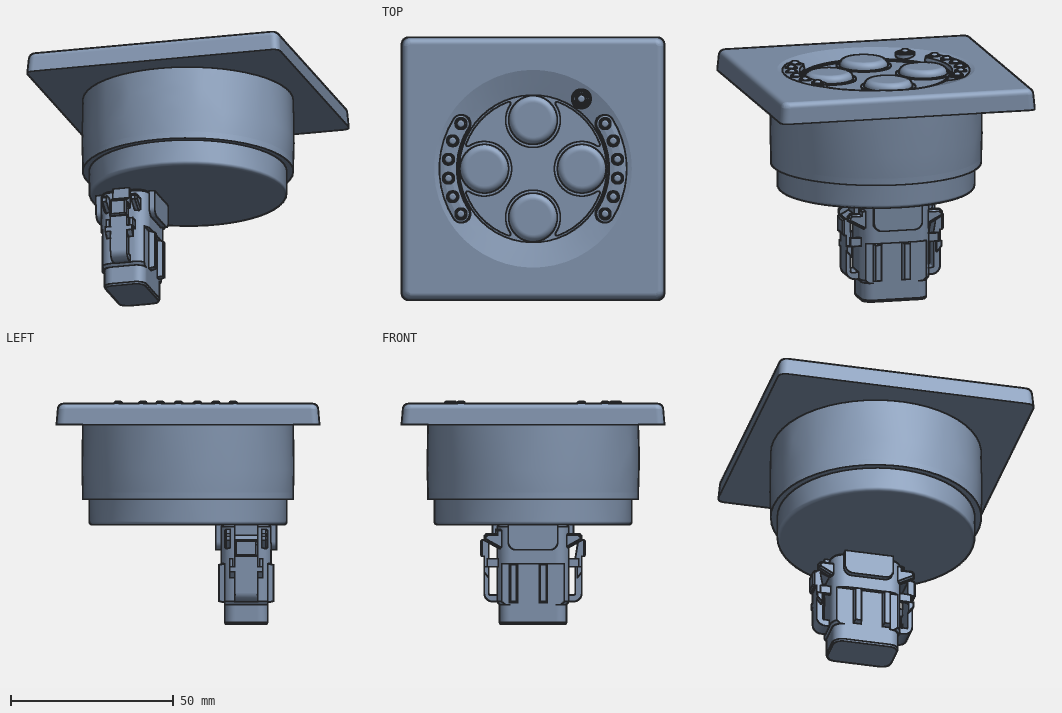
import cadquery as cq
import math

BEZEL_SIDE = 81.25
BEZEL_HEIGHT = 6.5
BEZEL_DRAFT = 4.8
BEZEL_CORNER_R = 2.35
BEZEL_TOP_R = 1.9

DRUM_DIA = 65.0
DRUM_BULGE = 0.25
BARREL_DEPTH = 21.0
RIM_HEIGHT = 2.1
CAP_DIA = 61.0
CAP_HEIGHT = 7.9
CAP_EDGE_R = 1.05
CAP_BOTTOM = -(BARREL_DEPTH + RIM_HEIGHT + CAP_HEIGHT)

DISH_DIA = 61.0
DISH_DEPTH = 1.95
KEYPAD_DIA = 45.5
DISH_FLOOR = BEZEL_HEIGHT - DISH_DEPTH

KEYPAD_STEP = 0.25
KEYPAD_THICKNESS = 2.4
KEYPAD_TOP = DISH_FLOOR - KEYPAD_STEP
BUTTON_DIA = 15.0
BUTTON_HEIGHT = 2.2
BUTTON_EDGE_R = 2.1
BUTTON_PITCH_R = 15.0
PANEL_DIA = 44.0
PANEL_DEPTH = 0.25
PANEL_CORNER_R = 0.6
BUTTON_SURROUND_DIA = 16.9

LAMP_TOP = 7.15
LAMP_DIA = 2.5
LAMP_TIP_DIA = 1.1
LAMP_ROUND = (LAMP_DIA - LAMP_TIP_DIA) / 2
COLLAR_BASE_DIA = 3.8
COLLAR_TOP_DIA = 3.5
COLLAR_TOP = 6.5
LAMP_PITCH_R = 26.25
LAMP_SEAT = 3.25

LAMPS_PER_STRIP = 6
LAMP_STEP = 12.8
STRIP_SPAN = (LAMPS_PER_STRIP - 1) * LAMP_STEP
STRIP_BASE_HALF = 3.0
STRIP_EDGE_HALF = 2.7
STRIP_RIDGE_HALF = 1.1
STRIP_WALL_FOOT = 4.9
STRIP_EDGE_TOP = 6.1
STRIP_RIDGE_TOP = 6.4

INDICATOR_ANGLE = 55.3
INDICATOR_BASE_R = 3.0
INDICATOR_EDGE_TOP = 6.0
INDICATOR_STEPS = 3
INDICATOR_STEP_IN = 0.3
INDICATOR_STEP_UP = 0.2

PLUG_Y = -17.95
SHELL_HALF_X = 11.05
SHELL_HALF_Y = 7.7
SHELL_CORNER_R = 4.15
SHELL_BOTTOM = -55.6
SHELL_TOP_CHAMFER = 0.65
SHOULDER_IN = 0.65
SHOULDER_HEIGHT = 1.0
NOSE_HALF_X = 10.4
NOSE_HALF_Y = 6.7
NOSE_CORNER_R = 3.2
PLUG_BOTTOM = -61.6
NOSE_CHAMFER_IN = 0.3
NOSE_CHAMFER_HEIGHT = 0.65
FLAT_TOP = -42.9

RIB_CENTRES_X = (-6.0, 3.2)
RIB_WIDTH = 2.6
RIB_OUTER_Y = 8.45
RIB_BOTTOM = -54.9
RIB_DRAFT = 12.0
PLATE_HALF_X = 7.6
PLATE_HALF_Y = 9.4
PLATE_BOTTOM = -38.7
PLATE_CORNER_R = 2.4

FIN_INNER_Y = 4.9
FIN_OUTER_Y = NOSE_HALF_Y
ROOT_X = 7.7
FIN_TIP_X = 15.1
FIN_TOP = -33.6
FIN_TIP_BOTTOM = -35.7
FIN_BOTTOM = -38.35
FIN_CHAMFER = 0.8
FIN_FACE_CHAMFER = 0.6
FIN_STEP_X = 11.45
FIN_STEP_TOP = -32.25

LATCH_HALF_Y = 3.5
RIGHT_NARROWING = 0.9
CATCH_X = 12.5
CATCH_BEND = -34.2
ARM_OUTER_X = 15.1
ARM_TOP = -35.6
ARM_BOTTOM = -54.7
ARM_FOOT_HEIGHT = 2.1
ARM_OUTER_R = 2.8
ARM_INNER_R = 0.5
LEFT_ARM_THICKNESS = 1.5
RIGHT_ARM_THICKNESS = 2.1
RIGHT_ARM_TIP_THICKNESS = 1.1
RIGHT_ARM_TAPER_END = -41.35
GRIP_X = 16.2
GRIP_BOTTOM = -40.7
GRIP_CHAMFER = 0.5
WING_OUTER_Y = 5.1
WING_THICKNESS = 1.5
WING_TOP = -43.95
WING_BEND = -45.5
WING_BOTTOM = -47.3
BAR_INNER_Y = 4.15
BAR_TOP = -41.35
BAR_OUTER_X = 14.1


def block(x_range, y_range, z_range):
    """Axis-aligned box between pairs of limits."""
    size = [abs(b - a) for a, b in (x_range, y_range, z_range)]
    corner = [min(pair) for pair in (x_range, y_range, z_range)]
    return cq.Workplane("XY").box(*size, centered=False).translate(tuple(corner))


def side_slab(points, y_min, y_max):
    """XZ outline extruded from y_min to y_max."""
    return cq.Workplane("XZ", origin=(0, y_max, 0)).polyline(points).close().extrude(y_max - y_min)


def both_y(solid):
    """A connector feature with its mirror image across the XZ plane."""
    return solid.union(solid.mirror("XZ"))


def round_block(half_x, half_y, corner_r, bottom, top):
    """Upright block with rounded corners, centred on the Z axis."""
    base = cq.Workplane("XY", origin=(0, 0, bottom)).rect(2 * half_x, 2 * half_y)
    return base.extrude(top - bottom).edges("|Z").fillet(corner_r)


def turned(section, centre=(0, 0), angle=360):
    """Revolve a closed (radius, height) section about a vertical axis."""
    solid = cq.Workplane("XZ").polyline(section).close().revolve(angle, (0, 0, 0), (0, 1, 0))
    return solid.translate((centre[0], centre[1], 0))


def on_circle(radius, angle):
    return radius * math.cos(math.radians(angle)), radius * math.sin(math.radians(angle))


def make_lamp(centre):
    collar = turned([
        (0, LAMP_SEAT),
        (COLLAR_BASE_DIA / 2, LAMP_SEAT),
        (COLLAR_BASE_DIA / 2, STRIP_EDGE_TOP),
        (COLLAR_TOP_DIA / 2, COLLAR_TOP),
        (0, COLLAR_TOP),
    ], centre)
    dome = cq.Workplane("XY", origin=(*centre, LAMP_SEAT)).circle(LAMP_DIA / 2)
    dome = dome.extrude(LAMP_TOP - LAMP_SEAT).faces(">Z").edges().fillet(LAMP_ROUND)
    return collar.union(dome)


def make_lamp_strip(middle_angle):
    half_section = [
        (STRIP_BASE_HALF, LAMP_SEAT),
        (STRIP_BASE_HALF, STRIP_WALL_FOOT),
        (STRIP_EDGE_HALF, STRIP_EDGE_TOP),
        (STRIP_RIDGE_HALF, STRIP_RIDGE_TOP),
    ]
    inner = [(LAMP_PITCH_R - r, z) for r, z in half_section]
    outer = [(LAMP_PITCH_R + r, z) for r, z in reversed(half_section)]
    first_angle = middle_angle - STRIP_SPAN / 2
    arc = turned(inner + outer, angle=STRIP_SPAN)
    strip = arc.rotate((0, 0, 0), (0, 0, 1), first_angle)
    end_section = [(0, LAMP_SEAT)] + half_section + [(0, STRIP_RIDGE_TOP)]
    for end_angle in (first_angle, first_angle + STRIP_SPAN):
        strip = strip.union(turned(end_section, on_circle(LAMP_PITCH_R, end_angle)))
    for i in range(LAMPS_PER_STRIP):
        strip = strip.union(make_lamp(on_circle(LAMP_PITCH_R, first_angle + i * LAMP_STEP)))
    return strip


def make_indicator():
    centre = on_circle(LAMP_PITCH_R, INDICATOR_ANGLE)
    section = [(0, LAMP_SEAT), (INDICATOR_BASE_R, LAMP_SEAT)]
    for i in range(INDICATOR_STEPS):
        tread_top = INDICATOR_EDGE_TOP + i * INDICATOR_STEP_UP
        edge_r = INDICATOR_BASE_R - i * INDICATOR_STEP_IN
        section += [(edge_r, tread_top), (edge_r - INDICATOR_STEP_IN, tread_top)]
    section.append((0, tread_top))
    holder = turned(section, centre)
    return holder.union(make_lamp(centre))


def make_keypad():
    centres = [on_circle(BUTTON_PITCH_R, 90 * i) for i in range(4)]
    disc = cq.Workplane("XY", origin=(0, 0, KEYPAD_TOP)).circle(KEYPAD_DIA / 2).extrude(-KEYPAD_THICKNESS)
    floor = cq.Workplane("XY", origin=(0, 0, KEYPAD_TOP - PANEL_DEPTH))
    panel = floor.circle(PANEL_DIA / 2).extrude(PANEL_DEPTH)
    panel = panel.cut(floor.pushPoints(centres).circle(BUTTON_SURROUND_DIA / 2).extrude(PANEL_DEPTH))
    panel = panel.edges("|Z").fillet(PANEL_CORNER_R)
    keypad = disc.cut(panel)
    for centre in centres:
        button = cq.Workplane("XY", origin=(*centre, KEYPAD_TOP)).circle(BUTTON_DIA / 2)
        keypad = keypad.union(button.extrude(BUTTON_HEIGHT).faces(">Z").edges().fillet(BUTTON_EDGE_R))
    return keypad


def make_housing(face_parts):
    bezel = cq.Workplane("XY").rect(BEZEL_SIDE, BEZEL_SIDE).extrude(BEZEL_HEIGHT, taper=BEZEL_DRAFT)
    bezel = bezel.edges("not(#Z or |X or |Y)").fillet(BEZEL_CORNER_R)
    bezel = bezel.faces(">Z").edges().fillet(BEZEL_TOP_R)
    drum_r = DRUM_DIA / 2
    drum_bottom = -(BARREL_DEPTH + RIM_HEIGHT)
    drum = (
        cq.Workplane("XZ")
        .lineTo(drum_r, 0)
        .threePointArc((drum_r + DRUM_BULGE, -BARREL_DEPTH / 2), (drum_r, -BARREL_DEPTH))
        .lineTo(drum_r, drum_bottom)
        .lineTo(0, drum_bottom)
        .close()
        .revolve(360, (0, 0, 0), (0, 1, 0))
    )
    cap = cq.Workplane("XY", origin=(0, 0, CAP_BOTTOM)).circle(CAP_DIA / 2).extrude(CAP_HEIGHT)
    cap = cap.faces("<Z").edges().fillet(CAP_EDGE_R)
    dish = turned([
        (0, BEZEL_HEIGHT),
        (DISH_DIA / 2, BEZEL_HEIGHT),
        (KEYPAD_DIA / 2, DISH_FLOOR),
        (KEYPAD_DIA / 2, KEYPAD_TOP - KEYPAD_THICKNESS),
        (0, KEYPAD_TOP - KEYPAD_THICKNESS),
    ])
    housing = bezel.union(drum).union(cap).cut(dish)
    for part in face_parts:
        housing = housing.cut(part)
    return housing


def make_shell():
    shell = round_block(SHELL_HALF_X, SHELL_HALF_Y, SHELL_CORNER_R, SHELL_BOTTOM, CAP_BOTTOM)
    shell = shell.faces("<Z").chamfer(SHOULDER_HEIGHT, SHOULDER_IN)
    shell = shell.faces(">Z").chamfer(SHELL_TOP_CHAMFER)
    spare = block((-SHELL_HALF_X, SHELL_HALF_X), (NOSE_HALF_Y, SHELL_HALF_Y), (SHELL_BOTTOM, FLAT_TOP))
    shell = shell.cut(both_y(spare))
    nose = round_block(NOSE_HALF_X, NOSE_HALF_Y, NOSE_CORNER_R, PLUG_BOTTOM, SHELL_BOTTOM)
    nose = nose.faces("<Z").chamfer(NOSE_CHAMFER_HEIGHT, NOSE_CHAMFER_IN)
    return shell.union(nose)


def make_ribs():
    height = FLAT_TOP - RIB_BOTTOM
    middle = (FLAT_TOP + RIB_BOTTOM) / 2
    face = cq.Workplane("XZ", origin=(0, -NOSE_HALF_Y, middle))
    ribs = face.pushPoints([(x, 0) for x in RIB_CENTRES_X]).rect(RIB_WIDTH, height)
    return both_y(ribs.extrude(RIB_OUTER_Y - NOSE_HALF_Y, taper=RIB_DRAFT))


def make_shoulder_plates():
    plates = block((-PLATE_HALF_X, PLATE_HALF_X), (-PLATE_HALF_Y, PLATE_HALF_Y), (PLATE_BOTTOM, CAP_BOTTOM))
    return plates.edges("|Y and <Z").fillet(PLATE_CORNER_R)


def make_fins(side, narrowing):
    outline = [
        (side * ROOT_X, FIN_TOP),
        (side * (FIN_TIP_X - FIN_CHAMFER), FIN_TOP),
        (side * FIN_TIP_X, FIN_TOP - FIN_CHAMFER),
        (side * FIN_TIP_X, FIN_TIP_BOTTOM),
        (side * (SHELL_HALF_X - FIN_CHAMFER), FIN_BOTTOM),
        (side * ROOT_X, FIN_BOTTOM),
    ]
    fin_y = (-(FIN_OUTER_Y - narrowing), -(FIN_INNER_Y - narrowing))
    fin = side_slab(outline, *fin_y)
    if side < 0:
        step_x = (side * FIN_STEP_X, side * ROOT_X)
        fin = fin.union(block(step_x, fin_y, (FIN_TOP, FIN_STEP_TOP))).clean()
    return both_y(fin.faces("<Y").chamfer(FIN_FACE_CHAMFER))


def make_catch(side, narrowing):
    half_y = LATCH_HALF_Y - narrowing
    outline = [
        (side * ROOT_X, CAP_BOTTOM),
        (side * CATCH_X, CAP_BOTTOM),
        (side * CATCH_X, CATCH_BEND),
        (side * ARM_OUTER_X, ARM_TOP),
        (side * ROOT_X, FIN_BOTTOM),
    ]
    return side_slab(outline, -half_y, half_y)


def make_arm(side, narrowing, thickness, tip_thickness):
    half_y = LATCH_HALF_Y - narrowing
    arm_y = (-half_y, half_y)
    inner_x = ARM_OUTER_X - thickness
    foot_top = ARM_BOTTOM + ARM_FOOT_HEIGHT
    arm = block((side * ROOT_X, side * ARM_OUTER_X), arm_y, (ARM_BOTTOM, ARM_TOP))
    arm = arm.edges("|Y and <Z").edges("<X" if side < 0 else ">X").fillet(ARM_OUTER_R)
    window = block((side * ROOT_X, side * inner_x), arm_y, (foot_top, ARM_TOP))
    window = window.edges("|Y and <Z").edges("<X" if side < 0 else ">X").fillet(ARM_INNER_R)
    arm = arm.cut(window)
    if tip_thickness < thickness:
        relief = side_slab([
            (side * inner_x, RIGHT_ARM_TAPER_END),
            (side * inner_x, ARM_TOP),
            (side * (ARM_OUTER_X - tip_thickness), ARM_TOP),
        ], *arm_y)
        arm = arm.cut(relief)
    grip = block((side * ARM_OUTER_X, side * GRIP_X), arm_y, (GRIP_BOTTOM, ARM_TOP))
    return arm.union(grip.faces("<X" if side < 0 else ">X").chamfer(GRIP_CHAMFER))


def make_wings(side, narrowing):
    """Tabs on the arm edges, each tied to the shell by a bar."""
    outer_y = WING_OUTER_Y - narrowing
    inner_x = ARM_OUTER_X - WING_THICKNESS
    wing = side_slab([
        (side * inner_x, WING_TOP),
        (side * ARM_OUTER_X, WING_TOP),
        (side * ARM_OUTER_X, WING_BEND),
        (side * inner_x, WING_BOTTOM),
    ], -outer_y, -(LATCH_HALF_Y - narrowing))
    bar_x = (side * ROOT_X, side * BAR_OUTER_X)
    bar = block(bar_x, (-outer_y, -(BAR_INNER_Y - narrowing)), (WING_TOP, BAR_TOP))
    return both_y(wing.union(bar))


def make_connector():
    connector = make_shell().union(make_ribs()).union(make_shoulder_plates())
    latches = (
        (-1, 0, LEFT_ARM_THICKNESS, LEFT_ARM_THICKNESS),
        (1, RIGHT_NARROWING, RIGHT_ARM_THICKNESS, RIGHT_ARM_TIP_THICKNESS),
    )
    for side, narrowing, thickness, tip_thickness in latches:
        connector = connector.union(make_fins(side, narrowing))
        connector = connector.union(make_catch(side, narrowing))
        connector = connector.union(make_arm(side, narrowing, thickness, tip_thickness))
        connector = connector.union(make_wings(side, narrowing))
    return connector.translate((0, PLUG_Y, 0))


lamp_strips = [make_lamp_strip(angle) for angle in (0, 180)]
indicator = make_indicator()
keypad = make_keypad()
housing = make_housing([*lamp_strips, indicator])
connector = make_connector()

result = cq.Compound.makeCompound([
    housing.val(),
    *[strip.val() for strip in lamp_strips],
    indicator.val(),
    keypad.val(),
    connector.val(),
])